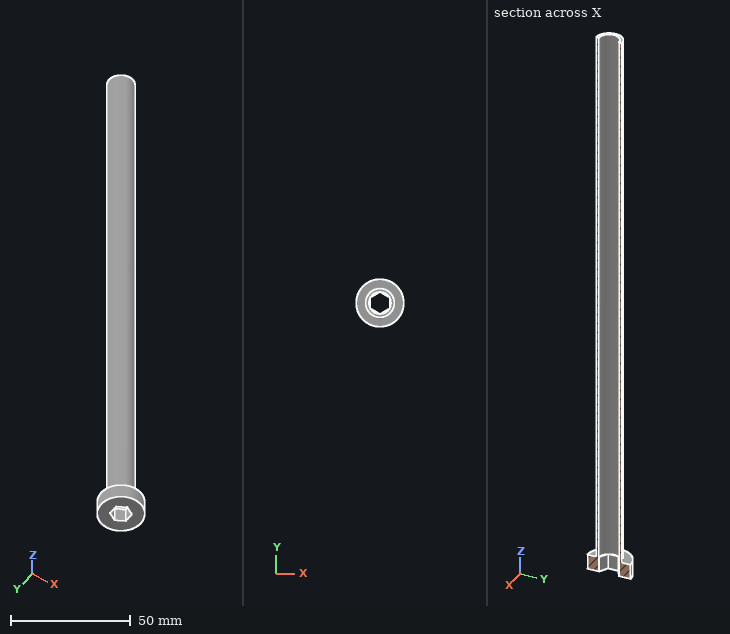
import cadquery as cq
import math

head_diameter = 20.0
head_height = 7.0

shank_diameter = 12.0
shank_length = 250.0
neck_fillet = 0.7

socket_across_flats = 8.0
socket_sides = 6
socket_depth = head_height
bore_diameter = socket_across_flats / math.cos(math.pi / socket_sides)

total_length = head_height + shank_length


def make_body():
    """Round head with a shank on top, blended by a fillet at the neck."""
    head = cq.Workplane("XY").circle(head_diameter / 2).extrude(head_height)
    shank = cq.Workplane("XY").circle(shank_diameter / 2).extrude(total_length)
    neck = cq.selectors.BoxSelector(
        (-shank_diameter, -shank_diameter, head_height - neck_fillet),
        (shank_diameter, shank_diameter, head_height + neck_fillet),
    )
    neck_circle = cq.selectors.RadiusNthSelector(0)
    return head.union(shank).edges(neck).edges("%CIRCLE").edges(neck_circle).fillet(neck_fillet)


def make_socket():
    """Hexagonal socket through the head, with two corners on the Y axis."""
    return (
        cq.Workplane("XY")
        .polygon(socket_sides, socket_across_flats, circumscribed=True)
        .extrude(socket_depth)
    )


def make_bore():
    """Round bore from the top of the socket to the end of the shank."""
    return (
        cq.Workplane("XY")
        .workplane(offset=socket_depth)
        .circle(bore_diameter / 2)
        .extrude(total_length - socket_depth)
    )


result = make_body().cut(make_socket()).cut(make_bore())